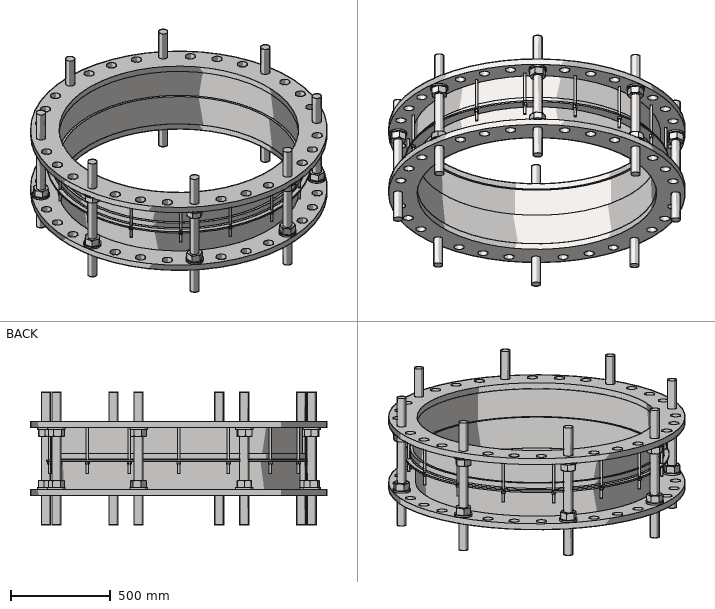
import cadquery as cq


flange_radius = 742.0
flange_bore_diameter = 1198.0
flange_bore_radius = flange_bore_diameter / 2
flange_thickness = 31.0
face_to_face = 371.0
flange_outer_z = face_to_face / 2
flange_inner_z = flange_outer_z - flange_thickness

bolt_circle_radius = 695.0
bolt_count = 32
bolt_pitch = 360 / bolt_count
first_bolt_angle = bolt_pitch / 2
bolt_hole_diameter = 50.0
rod_every = 4
first_rod_index = 2

rod_diameter = 46.0
rod_length = 665.0
washer_diameter = 88.0
washer_thickness = 9.0
nut_width = 70.0
nut_height = 35.0
nut_chamfer = 3.7
upper_nut_turn = -20
lower_nut_turn = -26

spigot_radius = 607.0
spigot_bore_radius = 598.0
spigot_top_z = 6.7
body_bore_radius = 610.0
body_radius = 620.0
collar_radius = 634.0
collar_top_z = 25.0
collar_bottom_z = -1.0

gland_radius = 662.0
gland_top_z = -7.0
gland_thickness = 7.0
gasket_spread = 5.0
gland_bottom_z = gland_top_z - gland_thickness
stud_count = 16
stud_circle_radius = 647.0
stud_diameter = 12.6
stud_end_z = -74.0
stud_nut_width = 18.0
stud_nut_height = 13.0

HEX_CORNER_RATIO = 2 / 3**0.5


def disc(radius, bottom_z, top_z):
    """Solid cylinder on the Z axis."""
    return cq.Workplane("XY").workplane(offset=bottom_z).circle(radius).extrude(top_z - bottom_z)


def ring(outer_radius, inner_radius, bottom_z, top_z):
    """Hollow cylinder on the Z axis."""
    return disc(outer_radius, bottom_z, top_z).cut(disc(inner_radius, bottom_z, top_z))


def hexagon(width, bottom_z, height):
    """Hexagonal prism on the Z axis, with a corner on +X."""
    corner_diameter = width * HEX_CORNER_RATIO
    return cq.Workplane("XY").workplane(offset=bottom_z).polygon(6, corner_diameter).extrude(height)


def at_polar(shape, radius, angle):
    """Move a shape from the Z axis out along +X, then turn it about Z."""
    return shape.translate((radius, 0, 0)).rotate((0, 0, 0), (0, 0, 1), angle)


def flange(bottom_z):
    """Flange ring with open holes wherever no tie rod passes."""
    plate = ring(flange_radius, flange_bore_radius, bottom_z, bottom_z + flange_thickness)
    hole = disc(bolt_hole_diameter / 2, bottom_z, bottom_z + flange_thickness)
    for index in range(bolt_count):
        if index % rod_every != first_rod_index:
            plate = plate.cut(at_polar(hole, bolt_circle_radius, first_bolt_angle + index * bolt_pitch))
    return plate


def rod_nut(turn):
    """Washer and nut seated on top of the lower flange, the nut rounded off at its free end."""
    washer_top_z = -flange_inner_z + washer_thickness
    nut_top_z = washer_top_z + nut_height
    washer = disc(washer_diameter / 2, -flange_inner_z, washer_top_z)
    corner_radius = nut_width * HEX_CORNER_RATIO / 2
    envelope = disc(corner_radius, washer_top_z, nut_top_z).faces(">Z").chamfer(nut_chamfer)
    nut = hexagon(nut_width, washer_top_z, nut_height).intersect(envelope)
    return washer.union(nut.rotate((0, 0, 0), (0, 0, 1), turn))


def tie_rod():
    """Rod with its two washers and nuts."""
    rod = disc(rod_diameter / 2, -rod_length / 2, rod_length / 2)
    upper_nut = rod_nut(upper_nut_turn).mirror("XY")
    return rod.union(rod_nut(lower_nut_turn)).union(upper_nut)


def gasket():
    """Gasket filling the gap between spigot and body, spreading out below the collar."""
    profile = [
        (spigot_bore_radius, gland_top_z),
        (collar_radius + gasket_spread, gland_top_z),
        (collar_radius, collar_bottom_z),
        (body_bore_radius, collar_bottom_z),
        (body_bore_radius, spigot_top_z),
        (spigot_bore_radius, spigot_top_z),
    ]
    return cq.Workplane("XZ").polyline(profile).close().revolve(360, (0, 0, 0), (0, 1, 0))


def gland_stud():
    """Stud from the upper flange through the gland ring, with a nut below the ring."""
    stud = disc(stud_diameter / 2, stud_end_z, flange_inner_z)
    nut = hexagon(stud_nut_width, gland_bottom_z - stud_nut_height, stud_nut_height)
    return stud.union(nut)


body = flange(flange_inner_z)
body = body.union(ring(body_radius, body_bore_radius, collar_bottom_z, flange_inner_z))
body = body.union(ring(collar_radius, body_bore_radius, collar_bottom_z, collar_top_z))

spigot = flange(-flange_outer_z)
spigot = spigot.union(ring(spigot_radius, spigot_bore_radius, -flange_inner_z, spigot_top_z))
gland = ring(gland_radius, spigot_bore_radius, gland_bottom_z, gland_top_z)

result = body.union(spigot).union(gland).union(gasket())

stud = gland_stud()
for index in range(stud_count):
    result = result.union(at_polar(stud, stud_circle_radius, index * 360 / stud_count))

rod = tie_rod()
for index in range(first_rod_index, bolt_count, rod_every):
    result = result.union(at_polar(rod, bolt_circle_radius, first_bolt_angle + index * bolt_pitch))